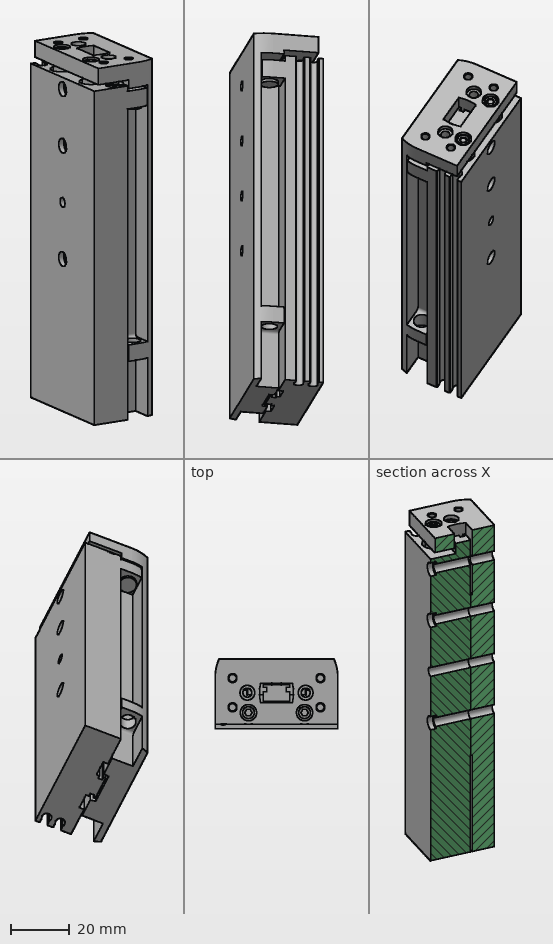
import cadquery as cq

WIDTH = 42.0
DEPTH = 24.0
LENGTH = 126.0
HALF_WIDTH = WIDTH / 2

PLATE_DEPTH = 22.3
PLATE_THICKNESS = 5.8
PLATE_BOTTOM_Z = LENGTH - PLATE_THICKNESS
PLATE_FRONT_Y = DEPTH - PLATE_DEPTH
SHOULDER_BOTTOM_Z = 118.8
DEEP_SHOULDER_BOTTOM_Z = 117.2
BACK_WALL = 2.4
WALL_INNER_Y = DEPTH - BACK_WALL
FLANK_HEIGHT = 6.4
FLANK_INSET = 1.4
FLANK_RADIUS = (FLANK_HEIGHT**2 + FLANK_INSET**2) / (2 * FLANK_INSET)

CORE_WIDTH = 25.2
CORE_FRONT_Y = 13.7
CORE_FILLET = 1.1
TABLE_LUG_Z = 20.7
TABLE_LUG_HEIGHT = 5.8

BUMPER_X = 16.5
BUMPER_Y = 17.9
BUMPER_DIAMETER = 6.0
BUMPER_PROJECTION = 1.0
BUMPER_HOLE_DIAMETER = 5.5

WINDOW_FRONT_Y = 9.0
WINDOW_BACK_Y = 15.6
WINDOW_CORNER_HALF = 5.4
WINDOW_MIDDLE_HALF = 5.8

THREAD_SPACING_X = 30.0
THREAD_SPACING_Y = 10.0
THREAD_CENTER_Y = 12.3
THREAD_DIAMETER = 2.5
THREAD_MOUTH_DIAMETER = 3.0
THREAD_DEPTH = 5.0
PLATE_BOLT_X = 10.0
PLATE_BOLT_Y = 12.3
PLATE_BOLT_HOLE = 3.0
PLATE_BOLT_BORE = 5.0
PLATE_BOLT_BORE_DEPTH = 1.5

ROD_X = 9.6
ROD_Y = 5.5
ROD_DIAMETER = 5.8
ROD_LENGTH = 10.1
ROD_BORE_DIAMETER = 5.5
ROD_BORE_DEPTH = 1.3
ROD_HEAD_DIAMETER = 4.0
ROD_HEAD_HEIGHT = 0.8
ROD_SOCKET_WIDTH = 2.5
ROD_SOCKET_DEPTH = 0.6

RAIL_WIDTH = 9.0
RAIL_FRONT_Y = 9.5
RAIL_BACK_Y = 15.0
RAIL_TOP_Z = 122.2
RACE_Y = 13.5
RACE_WIDTH = 1.5
RACE_DEPTH = 1.1
CHANNEL_WIDTH = 20.0
CHANNEL_FLOOR_Y = 11.6

PAD_CLEARANCE = 0.1
PAD_Z = 37.8
PAD_HEIGHT = 63.0

HOUSING_BACK_Y = 13.4
HOUSING_TOP_Z = 118.2
HOUSING_LUG_Z = 110.0
HOUSING_LUG_HEIGHT = 6.3
HOUSING_LUG_BACK_Y = 21.3
LUG_CORE_GAP = 0.4
CYLINDER_DIAMETER = 8.0
CYLINDER_DEPTH = 12.6
SENSOR_GROOVE_YS = (3.0, 8.1)
SENSOR_GROOVE_DIAMETER = 3.3
SENSOR_GROOVE_MOUTH = 2.8
SENSOR_GROOVE_LIP = 0.3
SENSOR_GROOVE_INSET = 2.8
MOUNT_SPACING = 20.0
MOUNT_TOP_Z = 114.0
MOUNT_DIAMETER = 3.3
MOUNT_BORE = 5.0
MOUNT_BORE_DEPTH = 2.0
MOUNT_BORED = (True, True, False, True)

STOP_X = 17.6
STOP_Y = 10.1
STOP_HEAD_DIAMETER = 6.0
STOP_HEAD_HEIGHT = 0.6
STOP_STUB_DIAMETER = 3.0


def box(x0, x1, y0, y1, z0, z1):
    """Block between two opposite corners."""
    return cq.Workplane("XY").box(x1 - x0, y1 - y0, z1 - z0, centered=False).translate((x0, y0, z0))


def cylinder(x, y, z0, z1, diameter):
    """Upright cylinder."""
    return cq.Workplane("XY", origin=(x, y, z0)).circle(diameter / 2).extrude(z1 - z0)


def outline_prism(front_y, z0, z1):
    """Full-width block whose flanks curve inwards to the back face."""
    tangent_y = DEPTH - FLANK_HEIGHT
    back_half = HALF_WIDTH - FLANK_INSET
    return (
        cq.Workplane("XY", origin=(0, 0, z0))
        .moveTo(-HALF_WIDTH, front_y)
        .lineTo(HALF_WIDTH, front_y)
        .lineTo(HALF_WIDTH, tangent_y)
        .radiusArc((back_half, DEPTH), -FLANK_RADIUS)
        .lineTo(-back_half, DEPTH)
        .radiusArc((-HALF_WIDTH, tangent_y), -FLANK_RADIUS)
        .close()
        .extrude(z1 - z0)
    )


def window_prism():
    """Window with bowed sides, as long as the part."""
    middle_y = (WINDOW_FRONT_Y + WINDOW_BACK_Y) / 2
    return (
        cq.Workplane("XY")
        .moveTo(-WINDOW_CORNER_HALF, WINDOW_FRONT_Y)
        .lineTo(WINDOW_CORNER_HALF, WINDOW_FRONT_Y)
        .threePointArc((WINDOW_MIDDLE_HALF, middle_y), (WINDOW_CORNER_HALF, WINDOW_BACK_Y))
        .lineTo(-WINDOW_CORNER_HALF, WINDOW_BACK_Y)
        .threePointArc((-WINDOW_MIDDLE_HALF, middle_y), (-WINDOW_CORNER_HALF, WINDOW_FRONT_Y))
        .close()
        .extrude(LENGTH)
    )


def mount_holes():
    """Row of through holes along Y, some counterbored at the mounting face."""
    holes = cq.Workplane("XY")
    for index, bored in enumerate(MOUNT_BORED):
        front = cq.Workplane("XZ", origin=(0, 0, MOUNT_TOP_Z - index * MOUNT_SPACING))
        holes = holes.add(front.circle(MOUNT_DIAMETER / 2).extrude(-DEPTH))
        if bored:
            holes = holes.add(front.circle(MOUNT_BORE / 2).extrude(-MOUNT_BORE_DEPTH))
    return holes.combine()


def table_shell():
    """End plate, shoulder, back wall, core and stop lugs, filleted where they meet the core."""
    half_core = CORE_WIDTH / 2
    lug_top_z = TABLE_LUG_Z + TABLE_LUG_HEIGHT
    shell = outline_prism(CORE_FRONT_Y, 0, LENGTH)
    for side, shoulder_z in ((-1, SHOULDER_BOTTOM_Z), (1, DEEP_SHOULDER_BOTTOM_Z)):
        for z0, z1 in ((-CORE_FILLET, TABLE_LUG_Z), (lug_top_z, shoulder_z)):
            x0, x1 = sorted((side * half_core, side * WIDTH))
            bay = box(x0, x1, 0, WALL_INNER_Y, z0, z1)
            core_side = "<X" if side > 0 else ">X"
            shell = shell.cut(bay.faces(core_side).edges("|Y").fillet(CORE_FILLET))
    return shell.union(outline_prism(PLATE_FRONT_Y, PLATE_BOTTOM_Z, LENGTH))


def guide_rail():
    """Rail with a ball race along each side."""
    half_rail = RAIL_WIDTH / 2
    rail = box(-half_rail, half_rail, RAIL_FRONT_Y, RAIL_BACK_Y, 0, RAIL_TOP_Z)
    for x in (-half_rail, half_rail):
        race_y0 = RACE_Y - RACE_WIDTH / 2
        race_y1 = RACE_Y + RACE_WIDTH / 2
        rail = rail.cut(box(x - RACE_DEPTH, x + RACE_DEPTH, race_y0, race_y1, 0, RAIL_TOP_Z))
    return rail


def carriage_pads():
    """Pads of the table that fill the housing channel on both sides of the guide rail and in its races."""
    half_pads = CHANNEL_WIDTH / 2 - PAD_CLEARANCE
    pads = box(-half_pads, half_pads, CHANNEL_FLOOR_Y, WINDOW_BACK_Y, PAD_Z, PAD_Z + PAD_HEIGHT)
    return pads.cut(guide_rail())


def add_piston_rods(table):
    """Rods below the end plate, each with a sunk screw head on top."""
    floor_z = LENGTH - ROD_BORE_DEPTH
    head_top_z = floor_z + ROD_HEAD_HEIGHT
    for x in (-ROD_X, ROD_X):
        table = table.union(cylinder(x, ROD_Y, PLATE_BOTTOM_Z - ROD_LENGTH, PLATE_BOTTOM_Z, ROD_DIAMETER))
        table = table.cut(cylinder(x, ROD_Y, floor_z, LENGTH, ROD_BORE_DIAMETER))
        table = table.union(cylinder(x, ROD_Y, floor_z, head_top_z, ROD_HEAD_DIAMETER))
        socket = (
            cq.Workplane("XY", origin=(x, ROD_Y, head_top_z - ROD_SOCKET_DEPTH))
            .polygon(6, ROD_SOCKET_WIDTH)
            .extrude(ROD_SOCKET_DEPTH)
        )
        table = table.cut(socket)
    return table


def cut_plate_holes(table):
    """Threaded holes and counterbored bolt holes in the end plate."""
    top = cq.Workplane("XY", origin=(0, THREAD_CENTER_Y, LENGTH))
    threads = top.rarray(THREAD_SPACING_X, THREAD_SPACING_Y, 2, 2).circle(THREAD_DIAMETER / 2)
    table = table.cut(threads.extrude(-THREAD_DEPTH))
    mouth_depth = (THREAD_MOUTH_DIAMETER - THREAD_DIAMETER) / 2
    mouths = top.rarray(THREAD_SPACING_X, THREAD_SPACING_Y, 2, 2).circle(THREAD_MOUTH_DIAMETER / 2)
    table = table.cut(mouths.extrude(-mouth_depth, taper=45))
    for x in (-PLATE_BOLT_X, PLATE_BOLT_X):
        table = table.cut(cylinder(x, PLATE_BOLT_Y, PLATE_BOTTOM_Z, LENGTH, PLATE_BOLT_HOLE))
        bore_floor_z = LENGTH - PLATE_BOLT_BORE_DEPTH
        table = table.cut(cylinder(x, PLATE_BOLT_Y, bore_floor_z, LENGTH, PLATE_BOLT_BORE))
    return table


def build_table():
    """Moving table of the slide."""
    table = table_shell().cut(window_prism()).union(carriage_pads())
    table = cut_plate_holes(add_piston_rods(table))
    for x in (-BUMPER_X, BUMPER_X):
        lug_top_z = TABLE_LUG_Z + TABLE_LUG_HEIGHT
        table = table.cut(cylinder(x, BUMPER_Y, TABLE_LUG_Z, lug_top_z, BUMPER_HOLE_DIAMETER))
    return table.cut(mount_holes())


def housing_lugs():
    """Stop lugs behind the housing, each with a bumper underneath."""
    lug_top_z = HOUSING_LUG_Z + HOUSING_LUG_HEIGHT
    inner_half = CORE_WIDTH / 2 + LUG_CORE_GAP
    lugs = outline_prism(CHANNEL_FLOOR_Y, HOUSING_LUG_Z, lug_top_z)
    lugs = lugs.cut(box(-HALF_WIDTH, HALF_WIDTH, HOUSING_LUG_BACK_Y, DEPTH, 0, LENGTH))
    lugs = lugs.cut(box(-inner_half, inner_half, 0, DEPTH, 0, LENGTH))
    for x in (-BUMPER_X, BUMPER_X):
        bumper_z = HOUSING_LUG_Z - BUMPER_PROJECTION
        lugs = lugs.union(cylinder(x, BUMPER_Y, bumper_z, lug_top_z, BUMPER_DIAMETER))
    return lugs


def sensor_groove(y):
    """Round groove along the -X flank with a narrower, chamfered mouth."""
    axis_x = -HALF_WIDTH + SENSOR_GROOVE_INSET
    half_mouth = SENSOR_GROOVE_MOUTH / 2
    groove = cylinder(axis_x, y, 0, HOUSING_TOP_Z, SENSOR_GROOVE_DIAMETER)
    half_outer = half_mouth + SENSOR_GROOVE_LIP
    lip_x = -HALF_WIDTH + SENSOR_GROOVE_LIP
    half_outline = [
        (axis_x, y),
        (-HALF_WIDTH, y),
        (-HALF_WIDTH, y + half_outer),
        (lip_x, y + half_mouth),
        (axis_x, y + half_mouth),
    ]
    half = cq.Workplane("XY").polyline(half_outline).close().extrude(HOUSING_TOP_Z)
    return groove.union(half).union(half.mirror("XZ", (0, y, 0)))


def build_housing():
    """Fixed housing of the slide with its guide rail."""
    half_channel = CHANNEL_WIDTH / 2
    housing = box(-HALF_WIDTH, HALF_WIDTH, 0, HOUSING_BACK_Y, 0, HOUSING_TOP_Z)
    housing = housing.cut(box(-half_channel, half_channel, CHANNEL_FLOOR_Y, DEPTH, 0, LENGTH))
    housing = housing.union(guide_rail()).union(housing_lugs())
    for y in SENSOR_GROOVE_YS:
        housing = housing.cut(sensor_groove(y))
    for x in (-ROD_X, ROD_X):
        bore_floor_z = HOUSING_TOP_Z - CYLINDER_DEPTH
        housing = housing.cut(cylinder(x, ROD_Y, bore_floor_z, HOUSING_TOP_Z, CYLINDER_DIAMETER))
    head_top_z = HOUSING_TOP_Z + STOP_HEAD_HEIGHT
    housing = housing.union(cylinder(STOP_X, STOP_Y, HOUSING_TOP_Z, head_top_z, STOP_HEAD_DIAMETER))
    housing = housing.union(cylinder(STOP_X, STOP_Y, head_top_z, PLATE_BOTTOM_Z, STOP_STUB_DIAMETER))
    return housing.cut(mount_holes())


table = build_table()
housing = build_housing()
result = cq.Compound.makeCompound([table.val(), housing.val()])